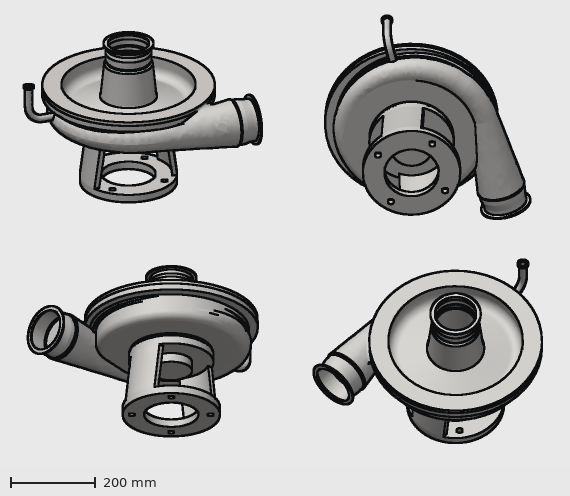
import cadquery as cq
import math


TOTAL_HEIGHT = 362.5

FOOT_RADIUS = 115.0
FOOT_BORE_RADIUS = 64.0
FOOT_THICKNESS = 20.0
BOLT_CIRCLE_RADIUS = 93.0
BOLT_HOLE_RADIUS = 7.0
BOLT_COUNT = 4
DISC_RADIUS = 99.85
DISC_BOTTOM_Z = 138.5
DISC_TOP_Z = 160.5
SPIGOT_RADIUS = 97.0
LEG_WIDTH = 96.0
LEG_THICKNESS = 11.0
HUB_RADIUS = 49.0
HUB_BOTTOM_Z = 115.5

CASING_RADIUS = 178.0
CASING_BOTTOM_Z = 167.0
CASING_EDGE_ROUND = 18.0
NECK_BOTTOM_Z = 217.0
NECK_TOP_Z = 223.5
NECK_RADIUS = 184.0
NECK_CENTER_X = 6.0
NECK_CENTER_Y = -4.0
NECK_FLARE_RADIUS = 188.0
NECK_FLARE_CENTER_X = 10.0
NECK_FLARE_CENTER_Y = -4.0
FLANGE_RADIUS = 204.2
FLANGE_BOTTOM_Z = 228.7
FLANGE_SPLIT_Z = 244.4
FLANGE_TOP_Z = 253.8
SPLIT_STEP = 0.3
FLANGE_TO_OUTLET_FILLET = 5.0

DISH_RADIUS = 158.5
DISH_ROUND_RADIUS = 22.6
DISH_ROUND_CENTER_Z = 229.8
DISH_CONE_ANGLE = math.radians(15.0)

VOLUTE_START_REACH = 169.0
VOLUTE_REACH_GROWTH = 13.0
VOLUTE_START_TUBE_RADIUS = 17.5
VOLUTE_TUBE_GROWTH = 5.5
VOLUTE_START_Z = 190.0
VOLUTE_RISE = 1.5
VOLUTE_QUARTERS = 3
SECTIONS_PER_QUARTER = 2

FERRULE_FLANGE_RADIUS = 59.5
FERRULE_FLANGE_THICKNESS = 3.0
FERRULE_TAPER_END = 5.0
FERRULE_NECK_RADIUS = 51.0
FERRULE_NECK_LENGTH = 15.0
FERRULE_BARREL_RADIUS = 54.4
FERRULE_BORE_RADIUS = 48.7
GROOVE_DEPTH = 48.0
GROOVE_WIDTH = 1.5

INLET_BARREL_START = 25.0
INLET_BARREL_END = 44.5
INLET_CONE_START = 53.5
INLET_CONE_TOP_RADIUS = 57.5
INLET_CONE_FOOT_RADIUS = 65.8
INLET_FOOT_FILLET = 4.0
INLET_FLOOR_Z = 165.0
INLET_BULGE_TOP_DEPTH = 29.0
INLET_BULGE_TAPER = 5.0
INLET_BULGE_RADIUS = 50.5

OUTLET_AXIS_X = 169.65
OUTLET_AXIS_Z = 195.5
OUTLET_END_Y = 250.0
OUTLET_BARREL_START = 33.0
OUTLET_BARREL_END = 47.0
OUTLET_ROOT_DEPTH = 51.0
OUTLET_ROOT_RADIUS = 57.0

DRAIN_RADIUS = 9.35
DRAIN_BORE_RADIUS = 7.5
DRAIN_REACH = 252.0
DRAIN_AXIS_Z = 203.0
DRAIN_BEND_RADIUS = 35.0
DRAIN_TOP_Z = 293.0
DRAIN_FLANGE_RADIUS = 12.7
DRAIN_FLANGE_THICKNESS = 2.5
DRAIN_FLANGE_TAPER = 3.0
DRAIN_START_Y = -170.0


def cylinder(radius, bottom, top):
    return cq.Workplane("XY").workplane(offset=bottom).circle(radius).extrude(top - bottom)


def make_foot():
    ring = cylinder(FOOT_RADIUS, 0, FOOT_THICKNESS)
    bore = cylinder(FOOT_BORE_RADIUS, 0, FOOT_THICKNESS)
    first_angle = 180 / BOLT_COUNT
    bolt_holes = (
        cq.Workplane("XY")
        .polarArray(BOLT_CIRCLE_RADIUS, first_angle, 360, BOLT_COUNT)
        .circle(BOLT_HOLE_RADIUS)
        .extrude(FOOT_THICKNESS)
    )
    return ring.cut(bore).cut(bolt_holes)


def make_legs():
    """Two opposite strips (+Y and -Y) of a conical shell between foot and disc."""
    shell = (
        cq.Workplane("XZ")
        .moveTo(FOOT_RADIUS - LEG_THICKNESS, FOOT_THICKNESS)
        .lineTo(FOOT_RADIUS, FOOT_THICKNESS)
        .lineTo(DISC_RADIUS, DISC_BOTTOM_Z)
        .lineTo(DISC_RADIUS - LEG_THICKNESS, DISC_BOTTOM_Z)
        .close()
        .revolve(360, (0, 0, 0), (0, 1, 0))
    )
    slab = cq.Workplane("XY").box(LEG_WIDTH, 2 * FOOT_RADIUS, 2 * DISC_BOTTOM_Z)
    return shell.intersect(slab)


def make_bearing_disc():
    disc = cylinder(DISC_RADIUS, DISC_BOTTOM_Z, DISC_TOP_Z)
    spigot = cylinder(SPIGOT_RADIUS, DISC_TOP_Z, CASING_BOTTOM_Z)
    hub = cylinder(HUB_RADIUS, HUB_BOTTOM_Z, DISC_BOTTOM_Z)
    return disc.union(spigot).union(hub)


def make_casing():
    """Round casing body with an off-centre neck that flares up to the cover flange."""
    body = cylinder(CASING_RADIUS, CASING_BOTTOM_Z, FLANGE_BOTTOM_Z)
    body = body.faces("<Z").edges().fillet(CASING_EDGE_ROUND)
    neck = cylinder(NECK_RADIUS, NECK_BOTTOM_Z, NECK_TOP_Z)
    neck = neck.translate((NECK_CENTER_X, NECK_CENTER_Y, 0))
    up = cq.Vector(0, 0, 1)
    flare_start = cq.Vector(NECK_CENTER_X, NECK_CENTER_Y, NECK_TOP_Z)
    flare_end = cq.Vector(NECK_FLARE_CENTER_X, NECK_FLARE_CENTER_Y, FLANGE_BOTTOM_Z)
    start_wire = cq.Wire.makeCircle(NECK_RADIUS, flare_start, up)
    end_wire = cq.Wire.makeCircle(NECK_FLARE_RADIUS, flare_end, up)
    flare = cq.Workplane(cq.Solid.makeLoft([start_wire, end_wire], True))
    return body.union(neck).union(flare)


def make_flange_with_outlet():
    """Two-step cover flange, filleted where the outlet pipe runs out from under its rim."""
    upper_radius = FLANGE_RADIUS - SPLIT_STEP
    upper_flange = cylinder(upper_radius, FLANGE_BOTTOM_Z, FLANGE_TOP_Z)
    joined = upper_flange.union(make_outlet_pipe())
    rim_region = cq.selectors.BoxSelector(
        (FLANGE_RADIUS / 2, 1, FLANGE_BOTTOM_Z + 1),
        (FLANGE_RADIUS, FLANGE_RADIUS, FLANGE_SPLIT_Z),
    )
    joined = joined.edges(rim_region).fillet(FLANGE_TO_OUTLET_FILLET)
    lower_flange = cylinder(FLANGE_RADIUS, FLANGE_BOTTOM_Z, FLANGE_SPLIT_Z)
    return joined.union(lower_flange)


def dish_floor_z(radius):
    """Height of the conical dish floor, which rises toward the pump axis."""
    round_center_radius = DISH_RADIUS - DISH_ROUND_RADIUS
    tangent_radius = round_center_radius - DISH_ROUND_RADIUS * math.sin(DISH_CONE_ANGLE)
    tangent_z = DISH_ROUND_CENTER_Z - DISH_ROUND_RADIUS * math.cos(DISH_CONE_ANGLE)
    return tangent_z + (tangent_radius - radius) * math.tan(DISH_CONE_ANGLE)


def make_dish_cutter():
    round_center_radius = DISH_RADIUS - DISH_ROUND_RADIUS
    tangent_radius = round_center_radius - DISH_ROUND_RADIUS * math.sin(DISH_CONE_ANGLE)
    mid_angle = (math.pi / 2 + DISH_CONE_ANGLE) / 2
    mid_radius = round_center_radius + DISH_ROUND_RADIUS * math.cos(mid_angle)
    mid_z = DISH_ROUND_CENTER_Z - DISH_ROUND_RADIUS * math.sin(mid_angle)
    return (
        cq.Workplane("XZ")
        .moveTo(0, FLANGE_TOP_Z)
        .lineTo(DISH_RADIUS, FLANGE_TOP_Z)
        .lineTo(DISH_RADIUS, DISH_ROUND_CENTER_Z)
        .threePointArc((mid_radius, mid_z), (tangent_radius, dish_floor_z(tangent_radius)))
        .lineTo(0, dish_floor_z(0))
        .close()
        .revolve(360, (0, 0, 0), (0, 1, 0))
    )


def volute_section(quarters):
    """Reach of the tube's outside, tube radius and centre height after some quarter turns."""
    reach = VOLUTE_START_REACH + VOLUTE_REACH_GROWTH * quarters
    tube_radius = VOLUTE_START_TUBE_RADIUS + VOLUTE_TUBE_GROWTH * quarters
    center_z = VOLUTE_START_Z + VOLUTE_RISE * quarters
    return reach, tube_radius, center_z


def make_volute():
    """Growing round tube that starts at +Y and winds through -X and -Y to +X."""
    wires = []
    for step in range(VOLUTE_QUARTERS * SECTIONS_PER_QUARTER + 1):
        quarters = step / SECTIONS_PER_QUARTER
        reach, tube_radius, center_z = volute_section(quarters)
        angle = math.radians(90 * (1 + quarters))
        center_radius = reach - tube_radius
        center = cq.Vector(center_radius * math.cos(angle), center_radius * math.sin(angle), center_z)
        along = cq.Vector(-math.sin(angle), math.cos(angle), 0)
        wires.append(cq.Wire.makeCircle(tube_radius, center, along))
    return cq.Workplane(cq.Solid.makeLoft(wires))


def make_outlet_pipe():
    """Widening pipe from the end of the volute to the root of the outlet ferrule."""
    reach, tube_radius, center_z = volute_section(VOLUTE_QUARTERS)
    along = cq.Vector(0, 1, 0)
    start_center = cq.Vector(reach - tube_radius, 0, center_z)
    end_center = cq.Vector(OUTLET_AXIS_X, OUTLET_END_Y - OUTLET_ROOT_DEPTH, OUTLET_AXIS_Z)
    start = cq.Wire.makeCircle(tube_radius, start_center, along)
    end = cq.Wire.makeCircle(OUTLET_ROOT_RADIUS, end_center, along)
    return cq.Workplane(cq.Solid.makeLoft([start, end], True))


def make_ferrule(barrel_start, barrel_end, root_depth, root_radius):
    """Solid ferrule pointing along +Z with its flange face at z = 0."""
    return (
        cq.Workplane("XZ")
        .moveTo(0, 0)
        .lineTo(FERRULE_FLANGE_RADIUS, 0)
        .lineTo(FERRULE_FLANGE_RADIUS, -FERRULE_FLANGE_THICKNESS)
        .lineTo(FERRULE_NECK_RADIUS, -FERRULE_TAPER_END)
        .lineTo(FERRULE_NECK_RADIUS, -FERRULE_NECK_LENGTH)
        .lineTo(FERRULE_BARREL_RADIUS, -barrel_start)
        .lineTo(FERRULE_BARREL_RADIUS, -barrel_end)
        .lineTo(FERRULE_NECK_RADIUS, -GROOVE_DEPTH)
        .lineTo(FERRULE_NECK_RADIUS, -GROOVE_DEPTH - GROOVE_WIDTH)
        .lineTo(root_radius, -root_depth)
        .lineTo(0, -root_depth)
        .close()
        .revolve(360, (0, 0, 0), (0, 1, 0))
    )


def make_inlet():
    """Inlet ferrule on its cone, with a small fillet where the cone meets the dish."""
    ferrule = make_ferrule(INLET_BARREL_START, INLET_BARREL_END, INLET_CONE_START, INLET_CONE_TOP_RADIUS)
    ferrule = ferrule.translate((0, 0, TOTAL_HEIGHT))
    fillet_edge_radius = INLET_CONE_FOOT_RADIUS + INLET_FOOT_FILLET
    foot_z = dish_floor_z(fillet_edge_radius)
    cone = (
        cq.Workplane("XZ")
        .moveTo(0, TOTAL_HEIGHT - INLET_CONE_START)
        .lineTo(INLET_CONE_TOP_RADIUS, TOTAL_HEIGHT - INLET_CONE_START)
        .lineTo(INLET_CONE_FOOT_RADIUS, foot_z + INLET_FOOT_FILLET)
        .radiusArc((fillet_edge_radius, foot_z), -INLET_FOOT_FILLET)
        .lineTo(0, foot_z)
        .close()
        .revolve(360, (0, 0, 0), (0, 1, 0))
    )
    return ferrule.union(cone)


def make_inlet_bore():
    """Straight bore down to its flat floor, with a slight bulge inside the ferrule barrel."""
    bore = cylinder(FERRULE_BORE_RADIUS, INLET_FLOOR_Z, TOTAL_HEIGHT)
    bulge_top_z = TOTAL_HEIGHT - INLET_BULGE_TOP_DEPTH
    bulge = (
        cq.Workplane("XZ")
        .moveTo(0, bulge_top_z)
        .lineTo(FERRULE_BORE_RADIUS, bulge_top_z)
        .lineTo(INLET_BULGE_RADIUS, bulge_top_z - INLET_BULGE_TAPER)
        .lineTo(INLET_BULGE_RADIUS, TOTAL_HEIGHT - INLET_BARREL_END)
        .lineTo(FERRULE_BORE_RADIUS, TOTAL_HEIGHT - GROOVE_DEPTH)
        .lineTo(0, TOTAL_HEIGHT - GROOVE_DEPTH)
        .close()
        .revolve(360, (0, 0, 0), (0, 1, 0))
    )
    return bore.union(bulge)


def make_outlet_ferrule():
    ferrule = make_ferrule(OUTLET_BARREL_START, OUTLET_BARREL_END, OUTLET_ROOT_DEPTH, OUTLET_ROOT_RADIUS)
    bore = cylinder(FERRULE_BORE_RADIUS, -OUTLET_ROOT_DEPTH, 0)
    upright = ferrule.cut(bore)
    lying = upright.rotate((0, 0, 0), (1, 0, 0), -90)
    return lying.translate((OUTLET_AXIS_X, OUTLET_END_Y, OUTLET_AXIS_Z))


def sweep_drain(radius):
    """Round bar along the drain: out along -Y, through the bend, then up."""
    bend_start_y = -DRAIN_REACH + DRAIN_BEND_RADIUS
    bend_end_z = DRAIN_AXIS_Z + DRAIN_BEND_RADIUS
    bend_drop = DRAIN_BEND_RADIUS * math.sin(math.pi / 4)
    bend_middle = (bend_start_y - bend_drop, bend_end_z - bend_drop)
    path = (
        cq.Workplane("YZ")
        .moveTo(DRAIN_START_Y, DRAIN_AXIS_Z)
        .lineTo(bend_start_y, DRAIN_AXIS_Z)
        .threePointArc(bend_middle, (-DRAIN_REACH, bend_end_z))
        .lineTo(-DRAIN_REACH, DRAIN_TOP_Z)
    )
    start_plane = cq.Workplane("XZ", origin=(0, DRAIN_START_Y, DRAIN_AXIS_Z))
    return start_plane.circle(radius).sweep(path)


def make_drain():
    flange_bottom_z = DRAIN_TOP_Z - DRAIN_FLANGE_THICKNESS
    flange = cylinder(DRAIN_FLANGE_RADIUS, flange_bottom_z, DRAIN_TOP_Z)
    taper = cq.Workplane(
        cq.Solid.makeCone(
            DRAIN_RADIUS,
            DRAIN_FLANGE_RADIUS,
            DRAIN_FLANGE_TAPER,
            cq.Vector(0, 0, flange_bottom_z - DRAIN_FLANGE_TAPER),
        )
    )
    ferrule = flange.union(taper).translate((0, -DRAIN_REACH, 0))
    return sweep_drain(DRAIN_RADIUS).union(ferrule)


pump = make_casing()
pump = pump.union(make_volute())
pump = pump.union(make_flange_with_outlet())
pump = pump.cut(make_dish_cutter())
pump = pump.union(make_inlet())
pump = pump.union(make_bearing_disc())
pump = pump.union(make_legs())
pump = pump.union(make_foot())
pump = pump.union(make_outlet_ferrule())
pump = pump.union(make_drain())
pump = pump.cut(make_inlet_bore())
pump = pump.cut(sweep_drain(DRAIN_BORE_RADIUS))
result = pump